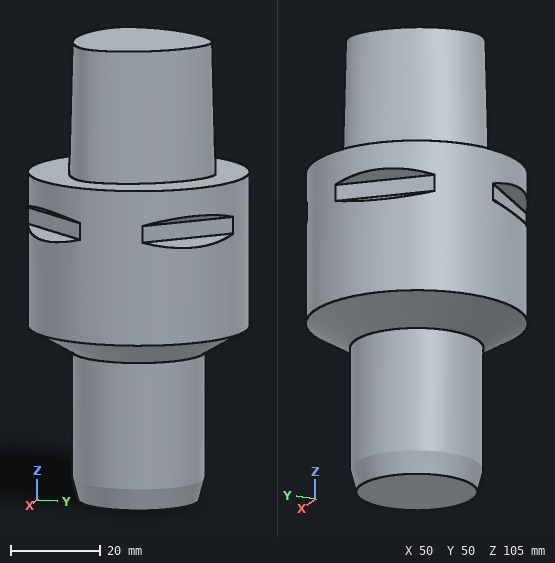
import cadquery as cq
import math

total_length = 105.0
taper_length = 30.0
body_bottom = 39.7
flange_top = total_length - taper_length

body_radius = 50.0 / 2
shank_radius = 30.0 / 2
cone_slope = 30.0
end_chamfer_height = 5.0
end_chamfer_angle = 15.0

base_diameter = 33.0
taper_ratio = 1 / 20
lobe_offset = 1.2

notch_count = 4
first_notch_angle = 45.0
notch_height = 65.1
notch_floor_width = 3.8
notch_floor_distance = 22.0
notch_flank_angle = 30.0


def make_body():
    """Revolve the shank, the cone and the cylindrical body."""
    cone_height = (body_radius - shank_radius) * math.tan(math.radians(cone_slope))
    end_radius = shank_radius - end_chamfer_height * math.tan(math.radians(end_chamfer_angle))
    profile = [
        (0, 0),
        (end_radius, 0),
        (shank_radius, end_chamfer_height),
        (shank_radius, body_bottom - cone_height),
        (body_radius, body_bottom),
        (body_radius, flange_top),
        (0, flange_top),
    ]
    return cq.Workplane("XZ").polyline(profile).close().revolve(360, (0, 0), (0, 1))


def lobed_point(diameter, fraction):
    """Point on a three-lobed outline of constant width, with one lobe towards +Y."""
    angle = 2 * math.pi * fraction - math.pi / 2
    reach = diameter / 2 - lobe_offset * math.sin(3 * angle)
    turn = -3 * lobe_offset * math.cos(3 * angle)
    return (
        reach * math.cos(angle) - turn * math.sin(angle),
        reach * math.sin(angle) + turn * math.cos(angle),
    )


def make_taper():
    """Loft the lobed outline from the flange face to the smaller free end."""
    tip_diameter = base_diameter - taper_length * taper_ratio
    return (
        cq.Workplane("XY", origin=(0, 0, flange_top))
        .parametricCurve(lambda fraction: lobed_point(base_diameter, fraction), N=120)
        .workplane(offset=taper_length)
        .parametricCurve(lambda fraction: lobed_point(tip_diameter, fraction), N=120)
        .loft(ruled=True)
    )


def make_notch(angle):
    """Straight notch with a flat floor and sloping flanks that open outwards."""
    outer_distance = body_radius + 1
    flank_rise = (outer_distance - notch_floor_distance) * math.tan(math.radians(notch_flank_angle))
    half_floor = notch_floor_width / 2
    half_mouth = half_floor + flank_rise
    section = [
        (notch_floor_distance, notch_height - half_floor),
        (outer_distance, notch_height - half_mouth),
        (outer_distance, notch_height + half_mouth),
        (notch_floor_distance, notch_height + half_floor),
    ]
    notch = cq.Workplane("XZ").polyline(section).close().extrude(body_radius, both=True)
    return notch.rotate((0, 0, 0), (0, 0, 1), angle)


result = make_body().union(make_taper())
for index in range(notch_count):
    notch_angle = first_notch_angle + index * 360 / notch_count
    result = result.cut(make_notch(notch_angle))